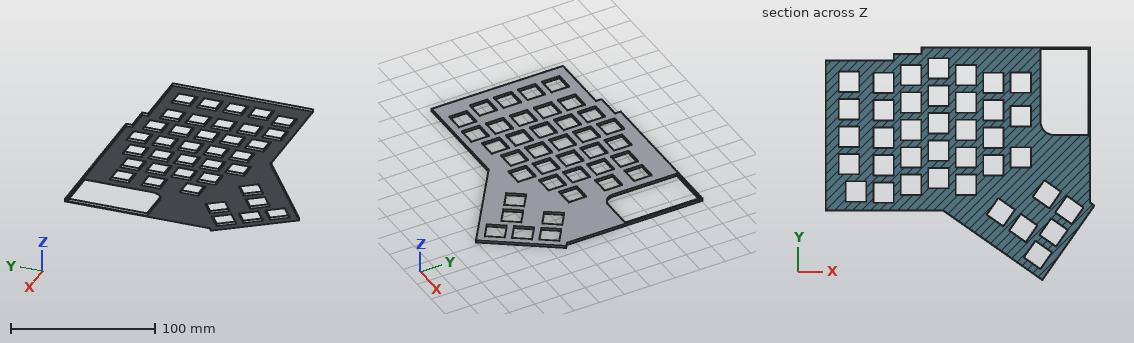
import cadquery as cq
import math

width = 186.5
depth = 161.3
thickness = 2.0
right_edge_x = 183.5
bottom_edge_y = 48.1

step_rise = 4.5
first_step_x = 47.2
second_step_x = 66.4

key_size = 14.0
key_pitch = 19.0
column_rows = 5
rows_beside_middle = column_rows // 2
column_start_x = 40.3
column_middle_y = [98.6, 104.0, 108.7, 104.0]

outer_column_x = 16.2
outer_column_middle_y = 99.4
outer_column_corner_shift = 4.8

inner_column_y = [136.9, 113.5, 85.0]

thumb_tilt = 35.0
thumb_margin = 12.5
thumb_pitches = 2
thumb_keys = [(0, 0), (0, 1), (0, 2), (-1, 0.5), (-2, 0.5), (-1, 2)]

window_wall = 1.3
window_left_x = 149.2
window_bottom_y = 100.7
window_corner_radius = 9.0

tilt = math.radians(thumb_tilt)
thumb_side = thumb_pitches * key_pitch + 2 * thumb_margin
front_corner_x = width - thumb_side * math.sin(tilt)
tip_y = thumb_side * math.cos(tilt)


def plate_blank():
    front_bend_x = front_corner_x - bottom_edge_y / math.tan(tilt)
    notch_y = tip_y + (width - right_edge_x) * math.tan(tilt)
    outline = [
        (0, bottom_edge_y),
        (front_bend_x, bottom_edge_y),
        (front_corner_x, 0),
        (width, tip_y),
        (right_edge_x, notch_y),
        (right_edge_x, depth),
        (second_step_x, depth),
        (second_step_x, depth - step_rise),
        (first_step_x, depth - step_rise),
        (first_step_x, depth - 2 * step_rise),
        (0, depth - 2 * step_rise),
    ]
    return cq.Workplane("XY").polyline(outline).close().extrude(thickness)


def column_of_keys(x, middle_y, rows):
    """Key centres down a column, listed from the back row forward."""
    return [(x, middle_y + (rows_beside_middle - row) * key_pitch) for row in range(rows)]


def straight_key_centres():
    centres = column_of_keys(outer_column_x, outer_column_middle_y, column_rows - 1)
    corner_key_y = outer_column_middle_y - rows_beside_middle * key_pitch
    centres.append((outer_column_x + outer_column_corner_shift, corner_key_y))

    for index, middle_y in enumerate(column_middle_y):
        centres += column_of_keys(column_start_x + index * key_pitch, middle_y, column_rows)

    short_column_x = column_start_x + len(column_middle_y) * key_pitch
    centres += column_of_keys(short_column_x, column_middle_y[0], column_rows - 1)

    centres += [(short_column_x + key_pitch, y) for y in inner_column_y]
    return centres


def straight_key_cutter():
    keys = cq.Workplane("XY").pushPoints(straight_key_centres())
    return keys.rect(key_size, key_size).extrude(thickness)


def thumb_key_cutter():
    centres = [
        (across * key_pitch - thumb_margin, along * key_pitch + thumb_margin)
        for across, along in thumb_keys
    ]
    keys = cq.Workplane("XY").pushPoints(centres).rect(key_size, key_size).extrude(thickness)
    tilted = keys.rotate((0, 0, 0), (0, 0, 1), -thumb_tilt)
    return tilted.translate((front_corner_x, 0, 0))


def window_cutter():
    window_width = right_edge_x - window_wall - window_left_x
    window_depth = depth - window_wall - window_bottom_y
    block = cq.Workplane("XY").box(window_width, window_depth, thickness, centered=False)
    rounded = block.edges("|Z and <X and <Y").fillet(window_corner_radius)
    return rounded.translate((window_left_x, window_bottom_y, 0))


result = (
    plate_blank()
    .cut(straight_key_cutter())
    .cut(thumb_key_cutter())
    .cut(window_cutter())
)